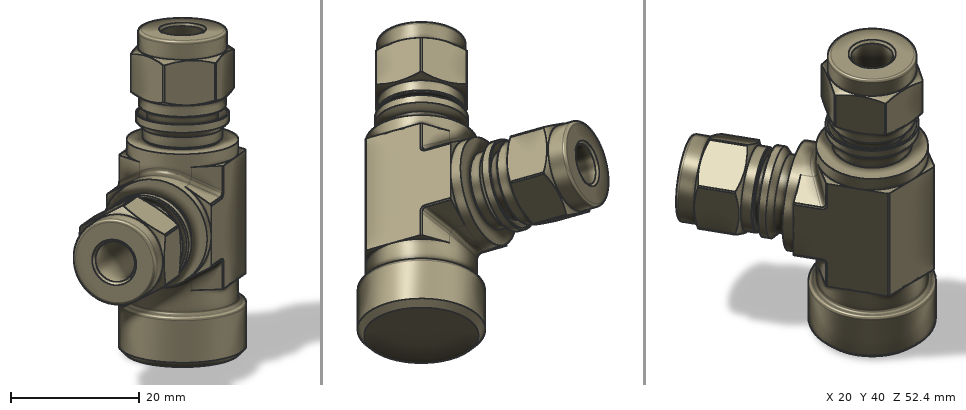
import cadquery as cq
import math

total_height = 52.35
cap_diameter = 20.0
arm_length = 30.0
centre_height = total_height - arm_length

body_diameter = 17.5
body_reach = 12.15
run_hex_half_length = 10.0
branch_hex_reach = 10.35
corner_diameter = 20.0
tee_fillet = 1.0

cap_top = 8.45
cap_chamfer = 1.05
cap_fillet = 0.5

stem_diameter = 12.5
stem_base_chamfer = 0.35
flange_diameter = 14.6
flange_top = 16.5
flange_rim = 1.25
dish_diameter = 13.9
dish_floor_diameter = 9.4
groove_diameter = 11.2
groove_bottom = 15.8
collar_bottom = 17.5
collar_diameter = 13.6
collar_chamfer = 0.2

nut_bottom = 19.4
nut_top = 26.95
nut_across_flats = 14.3
nut_corner_diameter = 16.35
nut_chamfer_angle = 30.0
nut_neck_diameter = 13.9
nut_neck_fillet = 0.45

stem_engagement = 0.5

socket_diameter = 6.55
socket_depth = 15.2
socket_chamfer = 0.4
passage_diameter = 4.8
passage_floor = 5.25

hex_half_angle = 30
body_radius = body_diameter / 2
corner_radius = body_radius / math.cos(math.radians(hex_half_angle))
corner_trim = (corner_radius - corner_diameter / 2) / math.sin(math.radians(hex_half_angle))

match_tolerance = 0.005


def revolve_profile(points):
    """Turn a closed (radius, height) outline around the Z axis."""
    return cq.Workplane("XZ").polyline(points).close().revolve(360, (0, 0), (0, 1))


def hex_bar(start, length, round_back):
    """Hexagonal bar along Z; its -Y corner, and optionally its +Y corner, is a round."""
    side_y = body_radius * math.tan(math.radians(hex_half_angle))
    tangent_x = body_radius * math.sin(math.radians(hex_half_angle))
    tangent_y = body_radius * math.cos(math.radians(hex_half_angle))
    outline = (
        cq.Workplane("XY")
        .workplane(offset=start)
        .moveTo(-tangent_x, -tangent_y)
        .threePointArc((0, -body_radius), (tangent_x, -tangent_y))
        .lineTo(body_radius, -side_y)
        .lineTo(body_radius, side_y)
    )
    if round_back:
        outline = outline.lineTo(tangent_x, tangent_y)
        outline = outline.threePointArc((0, body_radius), (-tangent_x, tangent_y))
    else:
        outline = outline.lineTo(0, corner_radius)
    return (
        outline
        .lineTo(-body_radius, side_y)
        .lineTo(-body_radius, -side_y)
        .close()
        .extrude(length)
    )


def point_forward(shape):
    """Turn a shape from the +Z axis to the -Y axis."""
    return shape.rotate((0, 0, 0), (1, 0, 0), 90)


def lies_on_mitre(edge):
    """Tell whether an edge lies where the branch bar meets the run bar, at 45 degrees to both."""
    points = [edge.startPoint(), edge.endPoint(), edge.positionAt(0.5)]
    return all(abs(point.y + abs(point.z)) < match_tolerance for point in points)


def is_bar_corner(edge):
    """Tell whether an edge is a corner of the bars: around a side flat, or along the back."""
    middle = edge.positionAt(0.5)
    on_side_flat = abs(abs(middle.x) - body_radius) < match_tolerance
    on_back = abs(middle.y - corner_radius) < match_tolerance
    on_run_end = abs(abs(middle.z) - run_hex_half_length) < match_tolerance
    on_branch_end = abs(middle.y + branch_hex_reach) < match_tolerance
    return (on_side_flat or on_back) and not (on_run_end or on_branch_end)


def crossing_bars():
    """Hexagonal bars of run and branch, filleted where they meet and trimmed at their corners."""
    run = hex_bar(-run_hex_half_length, 2 * run_hex_half_length, round_back=False)
    branch = point_forward(hex_bar(0, branch_hex_reach, round_back=True))
    bars = run.union(branch)
    bars = bars.newObject([edge for edge in bars.edges().vals() if lies_on_mitre(edge)])
    bars = bars.fillet(tee_fillet)
    corners = [edge for edge in bars.edges().vals() if is_bar_corner(edge)]
    return bars.newObject(corners).chamfer(corner_trim)


def branch_arm():
    """Round arm of the branch."""
    return point_forward(cq.Workplane("XY").circle(body_radius).extrude(body_reach))


def run_barrel():
    """Round barrel of the run, standing on its chamfered and rounded bottom cap."""
    cap_radius = cap_diameter / 2
    bottom = -centre_height
    top = bottom + cap_top
    arc = cap_fillet * (1 - math.sqrt(0.5))
    return (
        cq.Workplane("XZ")
        .moveTo(0, bottom)
        .lineTo(cap_radius - cap_chamfer, bottom)
        .lineTo(cap_radius, bottom + cap_chamfer)
        .lineTo(cap_radius, top - cap_fillet)
        .threePointArc((cap_radius - arc, top - arc), (cap_radius - cap_fillet, top))
        .lineTo(body_radius + cap_fillet, top)
        .threePointArc((body_radius + arc, top + arc), (body_radius, top + cap_fillet))
        .lineTo(body_radius, body_reach)
        .lineTo(0, body_reach)
        .close()
        .revolve(360, (0, 0), (0, 1))
    )


def tube_nut():
    """Hexagon nut, chamfered at both ends and trimmed at its corners, with a round neck."""
    trim_radius = nut_corner_diameter / 2
    top_radius = nut_neck_diameter / 2
    bottom_radius = collar_diameter / 2
    chamfer_slope = math.tan(math.radians(nut_chamfer_angle))
    corner_to_corner = nut_across_flats / math.cos(math.radians(hex_half_angle))
    hexagon = (
        cq.Workplane("XY")
        .workplane(offset=nut_bottom)
        .transformed(rotate=(0, 0, hex_half_angle))
        .polygon(6, corner_to_corner)
        .extrude(nut_top - nut_bottom)
    )
    envelope = revolve_profile([
        (0, nut_bottom),
        (bottom_radius, nut_bottom),
        (trim_radius, nut_bottom + (trim_radius - bottom_radius) * chamfer_slope),
        (trim_radius, nut_top - (trim_radius - top_radius) * chamfer_slope),
        (top_radius, nut_top),
        (0, nut_top),
    ])
    neck = (
        cq.Workplane("XY")
        .workplane(offset=nut_top)
        .circle(top_radius)
        .extrude(arm_length - nut_top)
        .faces(">Z")
        .edges()
        .fillet(nut_neck_fillet)
    )
    return hexagon.intersect(envelope).union(neck)


def tube_stem():
    """Turned stem with its flange, groove and collar, from the body to inside the nut."""
    stem_radius = stem_diameter / 2
    flange_radius = flange_diameter / 2
    dish_radius = dish_diameter / 2
    dish_floor_radius = dish_floor_diameter / 2
    groove_radius = groove_diameter / 2
    collar_radius = collar_diameter / 2
    flange_cone_top = flange_top - flange_rim
    return revolve_profile([
        (0, 0),
        (stem_radius - stem_base_chamfer, 0),
        (stem_radius - stem_base_chamfer, body_reach),
        (stem_radius, body_reach + stem_base_chamfer),
        (stem_radius, flange_cone_top - (flange_radius - stem_radius)),
        (flange_radius, flange_cone_top),
        (flange_radius, flange_top),
        (dish_radius, flange_top),
        (dish_floor_radius, flange_top - (dish_radius - dish_floor_radius)),
        (dish_floor_radius, groove_bottom),
        (groove_radius, groove_bottom),
        (groove_radius, collar_bottom),
        (collar_radius - collar_chamfer, collar_bottom),
        (collar_radius, collar_bottom + collar_chamfer),
        (collar_radius, nut_bottom + stem_engagement),
        (0, nut_bottom + stem_engagement),
    ])


def tube_bore():
    """Chamfered tube socket with a narrower passage beyond it."""
    socket_radius = socket_diameter / 2
    passage_radius = passage_diameter / 2
    socket_floor = arm_length - socket_depth
    return revolve_profile([
        (0, passage_floor),
        (passage_radius, passage_floor),
        (passage_radius, socket_floor),
        (socket_radius, socket_floor),
        (socket_radius, arm_length - socket_chamfer),
        (socket_radius + socket_chamfer, arm_length),
        (0, arm_length),
    ])


tube_end = tube_stem().union(tube_nut())
bore = tube_bore()

fitting = run_barrel().union(crossing_bars()).union(branch_arm())
fitting = fitting.union(tube_end).union(point_forward(tube_end))
fitting = fitting.cut(bore).cut(point_forward(bore))

result = fitting.translate((0, 0, centre_height))